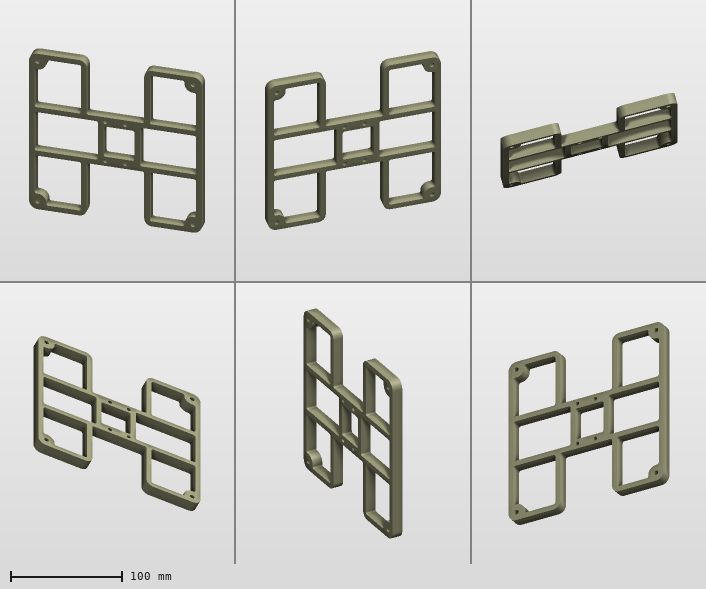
import cadquery as cq

side = 161.0
thickness = 10.0
wall = 5.2
arm_width = 53.6
bridge_height = 50.2
outer_radius = 8.0
leg_inside_radius = 7.1
inner_radius = 2.0

corner_hole_diameter = 4.5
center_hole_diameter = 3.9
center_hole_pitch_x = 18.5
center_hole_pitch_z = 40.5

center_window_left = -11.1
center_window_width = 29.0
center_window_height = 31.2

half_side = side / 2
half_bridge = bridge_height / 2
window_edge = half_side - wall
notch_width = side - 2 * arm_width
notch_depth = half_side - half_bridge
boss_offset = half_side - outer_radius
center_window_right = center_window_left + center_window_width


def block(x_min, x_max, z_min, z_max):
    """Full-thickness block, centred on Y, between the given X and Z limits."""
    return (
        cq.Workplane("XY")
        .box(x_max - x_min, thickness, z_max - z_min)
        .translate(((x_min + x_max) / 2, 0, (z_min + z_max) / 2))
    )


def cylinders(points, diameter):
    """Full-thickness cylinders along Y at the given X, Z points."""
    return (
        cq.Workplane("XZ")
        .pushPoints(points)
        .circle(diameter / 2)
        .extrude(thickness / 2, both=True)
    )


def rounded_window(x_min, x_max, z_min, z_max):
    """Window cutter with rounded corners."""
    return block(x_min, x_max, z_min, z_max).edges("|Y").fillet(inner_radius)


def h_plate():
    """Solid H: a square with a notch in the top and bottom edges."""
    plate = block(-half_side, half_side, -half_side, half_side)
    for direction in (-1, 1):
        notch_center = direction * (half_bridge + notch_depth / 2)
        notch = cq.Workplane("XY").box(notch_width, thickness, notch_depth)
        plate = plate.cut(notch.translate((0, 0, notch_center)))
    plate = plate.edges("|Y").edges("<X or >X").fillet(outer_radius)
    leg_inside_corners = cq.selectors.BoxSelector(
        (-notch_width, -thickness, -side), (notch_width, thickness, side)
    )
    plate = plate.edges("|Y").edges(leg_inside_corners).edges("<Z or >Z").fillet(leg_inside_radius)
    notch_corners = cq.selectors.BoxSelector(
        (-notch_width, -thickness, -half_bridge - wall),
        (notch_width, thickness, half_bridge + wall),
    )
    return plate.edges("|Y").edges(notch_corners).fillet(inner_radius)


def leg_window():
    """Cutter for the upper +X leg, leaving a round boss in its outer corner."""
    opening = block(half_side - arm_width + wall, window_edge, half_bridge, window_edge)
    boss = cylinders([(boss_offset, boss_offset)], 2 * outer_radius)
    return opening.cut(boss).edges("|Y").fillet(inner_radius)


result = h_plate()

upper_right = leg_window()
upper_left = upper_right.mirror("YZ")
for window in (upper_right, upper_left):
    result = result.cut(window).cut(window.mirror("XY"))

side_window_top = half_bridge - wall
center_window_top = center_window_height / 2
for x_min, x_max, top in (
    (-window_edge, center_window_left - wall, side_window_top),
    (center_window_left, center_window_right, center_window_top),
    (center_window_right + wall, window_edge, side_window_top),
):
    result = result.cut(rounded_window(x_min, x_max, -top, top))

corner_points = [(x * boss_offset, z * boss_offset) for x in (-1, 1) for z in (-1, 1)]
center_points = [
    (x * center_hole_pitch_x / 2, z * center_hole_pitch_z / 2) for x in (-1, 1) for z in (-1, 1)
]
result = result.cut(cylinders(corner_points, corner_hole_diameter))
result = result.cut(cylinders(center_points, center_hole_diameter))